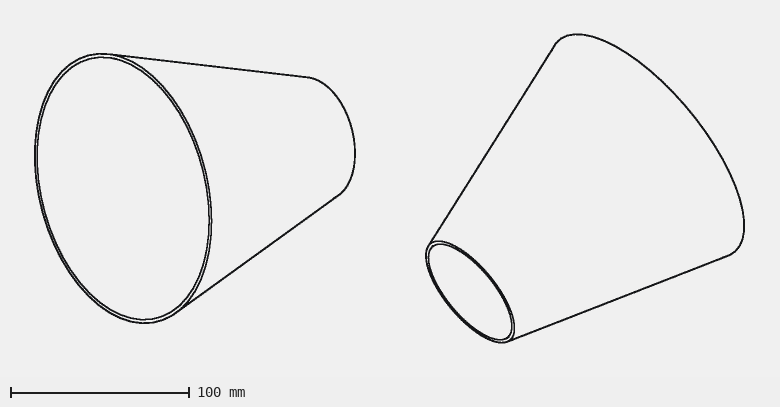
import cadquery as cq
import math

large_diameter = 154.0
small_diameter = 70.0
length = 140.0
wall = 2.0

large_radius = large_diameter / 2
small_radius = small_diameter / 2
half_angle = math.atan2(large_radius - small_radius, length)
radial_wall = wall / math.cos(half_angle)

wall_section = (
    cq.Workplane("XY")
    .moveTo(large_radius - radial_wall, 0)
    .lineTo(large_radius, 0)
    .lineTo(small_radius, length)
    .lineTo(small_radius - radial_wall, length)
    .close()
)

result = wall_section.revolve(360, (0, 0, 0), (0, 1, 0))